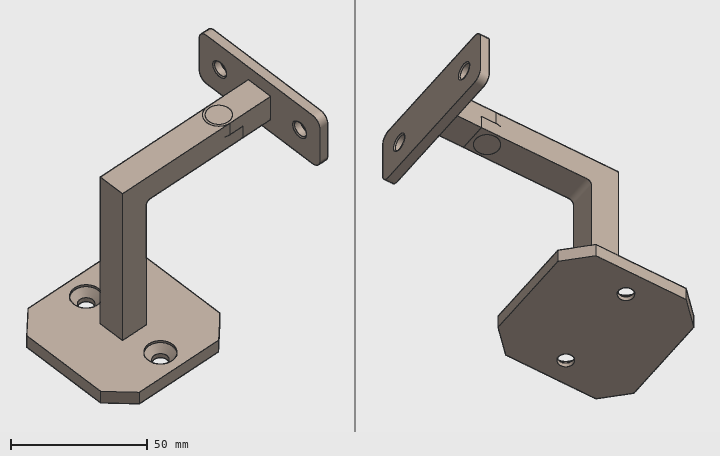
import cadquery as cq

BASE_SIZE = 60.0
BASE_THICKNESS = 6.0
BASE_CORNER_CUT = 10.0
BASE_HOLE_SPACING = 40.0
BASE_SINK_DIAMETER = 12.2
BASE_SINK_RIM = 1.0

SCREW_HOLE_DIAMETER = 6.5
SINK_ANGLE = 90

BAR = 12.0
ARM_CENTRE_Z = 76.0
INNER_CORNER_RADIUS = 2.0

WALL_LENGTH = 65.0
WALL_HEIGHT = 25.0
WALL_THICKNESS = 4.0
WALL_CORNER_RADIUS = 4.0
WALL_HOLE_SPACING = 43.0
WALL_HOLE_CHAMFER = 0.5

OVERALL_DEPTH = 102.5

PIN_DIAMETER = 10.0
PIN_TO_WALL_PLATE = 20.5
TONGUE_REACH = 6.5

half_bar = BAR / 2
arm_top = ARM_CENTRE_Z + half_bar
arm_bottom = ARM_CENTRE_Z - half_bar
wall_face_y = OVERALL_DEPTH - BASE_SIZE / 2 - WALL_THICKNESS
pin_y = wall_face_y - PIN_TO_WALL_PLATE
tongue_end_y = pin_y + TONGUE_REACH


def box(width, y_start, y_end, z_start, z_end):
    """Block centred on X between the given Y and Z limits."""
    return (
        cq.Workplane("XY")
        .box(width, y_end - y_start, z_end - z_start, centered=(True, False, False))
        .translate((0, y_start, z_start))
    )


def hole_pair(spacing):
    """Centres of two holes placed either side of the middle."""
    return [(-spacing / 2, 0), (spacing / 2, 0)]


def make_base():
    plate = cq.Workplane("XY").rect(BASE_SIZE, BASE_SIZE).extrude(BASE_THICKNESS)
    plate = plate.edges("|Z").chamfer(BASE_CORNER_CUT)
    holes = hole_pair(BASE_HOLE_SPACING)
    rims = plate.faces(">Z").workplane().pushPoints(holes).circle(BASE_SINK_DIAMETER / 2)
    plate = rims.cutBlind(-BASE_SINK_RIM)
    return (
        plate.faces(">Z")
        .workplane(offset=-BASE_SINK_RIM)
        .pushPoints(holes)
        .cskHole(SCREW_HOLE_DIAMETER, BASE_SINK_DIAMETER, SINK_ANGLE)
    )


def make_wall_plate():
    plate = box(
        WALL_LENGTH,
        wall_face_y,
        wall_face_y + WALL_THICKNESS,
        ARM_CENTRE_Z - WALL_HEIGHT / 2,
        ARM_CENTRE_Z + WALL_HEIGHT / 2,
    )
    plate = plate.edges("|Y").fillet(WALL_CORNER_RADIUS)
    mouth_diameter = SCREW_HOLE_DIAMETER + 2 * WALL_HOLE_CHAMFER
    for face in ("<Y", ">Y"):
        plate = (
            plate.faces(face)
            .workplane(centerOption="CenterOfBoundBox")
            .pushPoints(hole_pair(WALL_HOLE_SPACING))
            .cskHole(SCREW_HOLE_DIAMETER, mouth_diameter, SINK_ANGLE)
        )
    return plate


def make_pin():
    """Round pin through both halves of the lap joint, flush at its ends."""
    return cq.Workplane("XY", origin=(0, pin_y, arm_bottom)).circle(PIN_DIAMETER / 2).extrude(BAR)


def make_knuckle(pin):
    """Stub on the wall plate whose upper half ends in a round tongue about the pin."""
    upper = box(BAR, pin_y, wall_face_y, ARM_CENTRE_Z, arm_top)
    lower = box(BAR, tongue_end_y, wall_face_y, arm_bottom, ARM_CENTRE_Z)
    round_end = cq.Workplane("XY", origin=(0, pin_y, ARM_CENTRE_Z)).circle(half_bar).extrude(half_bar)
    return upper.union(lower).union(round_end).cut(pin)


def make_elbow(knuckle, pin):
    """Post and arm in one bent bar, with a tongue below the knuckle's round end."""
    profile = (
        cq.Workplane("YZ", origin=(-half_bar, 0, 0))
        .moveTo(-half_bar, BASE_THICKNESS)
        .lineTo(half_bar, BASE_THICKNESS)
        .lineTo(half_bar, arm_bottom)
        .lineTo(tongue_end_y, arm_bottom)
        .lineTo(tongue_end_y, ARM_CENTRE_Z)
        .lineTo(pin_y, ARM_CENTRE_Z)
        .lineTo(pin_y, arm_top)
        .lineTo(-half_bar, arm_top)
        .close()
    )
    inner_corner = cq.selectors.NearestToPointSelector((0, half_bar, arm_bottom))
    bar = profile.extrude(BAR).edges("|X").edges(inner_corner).fillet(INNER_CORNER_RADIUS)
    return bar.cut(knuckle).cut(pin)


base = make_base()
wall_plate = make_wall_plate()
pin = make_pin()
knuckle = make_knuckle(pin)
elbow = make_elbow(knuckle, pin)

bodies = [base, elbow, knuckle, wall_plate, pin]
result = cq.Compound.makeCompound([body.solids().val() for body in bodies])